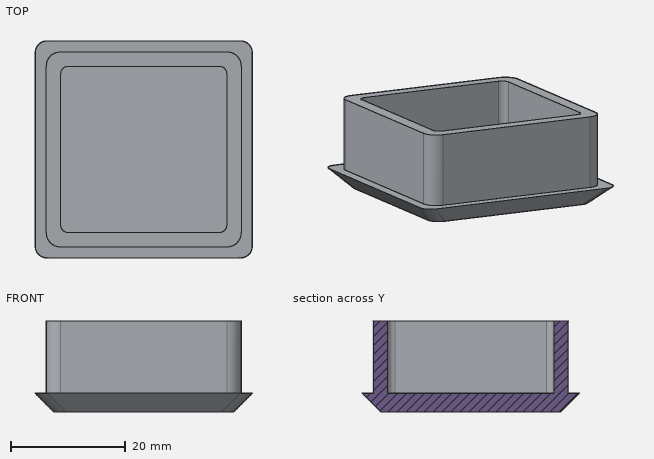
import cadquery as cq

flange_side = 38.1
flange_height = 3.3
flange_corner_radius = 2.1
flange_bottom_side = flange_side - 2 * flange_height

total_height = 16.0
body_side = 34.2
body_height = total_height - flange_height
body_corner_radius = 2.5

wall = 2.54
cavity_side = body_side - 2 * wall
cavity_corner_radius = wall / 2


def rounded_square(side, corner_radius):
    """Flat square outline, centred on the origin, with rounded corners."""
    return cq.Sketch().rect(side, side).vertices().fillet(corner_radius)


def tapered_flange():
    """Flange lofted between two squares that share the same corner radius."""
    bottom_outline = rounded_square(flange_bottom_side, flange_corner_radius)
    top_location = cq.Location((0, 0, flange_height))
    top_outline = rounded_square(flange_side, flange_corner_radius).moved(top_location)
    return cq.Workplane("XY").placeSketch(bottom_outline, top_outline).loft(ruled=True)


def prism_on_flange(side, corner_radius):
    """Upright rounded square prism from the flange top to the full height."""
    outline = rounded_square(side, corner_radius)
    return cq.Workplane("XY", origin=(0, 0, flange_height)).placeSketch(outline).extrude(body_height)


body = prism_on_flange(body_side, body_corner_radius)
cavity = prism_on_flange(cavity_side, cavity_corner_radius)

result = tapered_flange().union(body).cut(cavity)